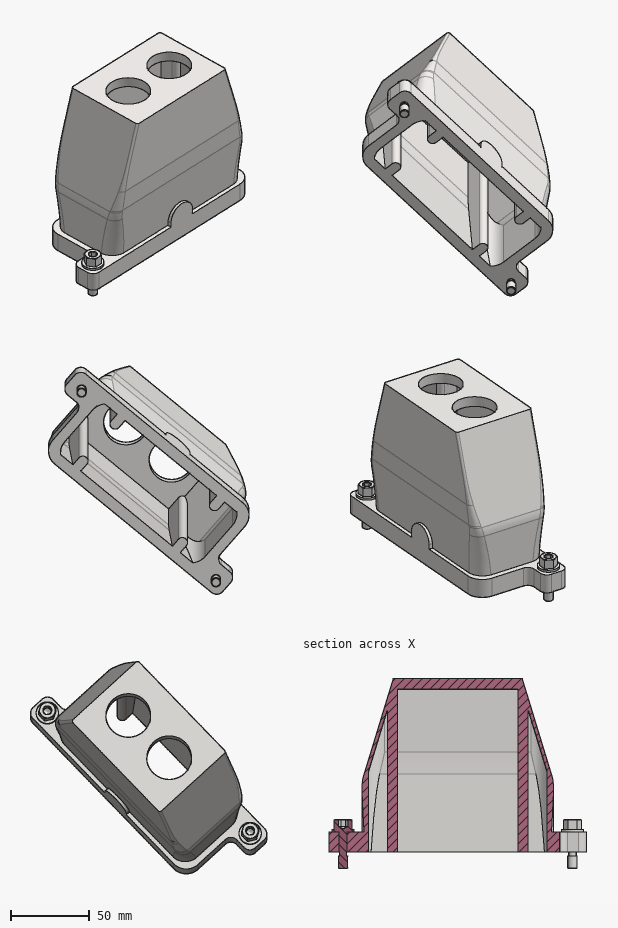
import cadquery as cq
import math

flange_width = 58.0
flange_length = 130.0
flange_height = 13.0
flange_corner_radius = 11.0

overall_length = 164.0
ear_width = 18.0
ear_corner_radius = 5.0
ear_root_radius = 5.0

hood_height = 110.6
side_top_half = flange_width / 2
side_bend_top = 63.7
side_bend_radius = 215.0
side_draft = math.radians(3.75)
end_base_half = 61.0
end_bend_bottom = 42.4
end_bend_radius = 21.0
end_slant = math.radians(17.0)
corner_setback_base = 10.0
corner_setback_top = 1.5
corner_crossing = math.radians(5.0)
corner_blend_top = 83.0
corner_steps = 4

side_wall_thickness = 3.5
end_wall_thickness = 2.5
cavity_corner_radius = 12.0
roof_thickness = 7.0
rib_inner_x = 12.6
rib_inner_y = 38.2
rib_radius = 3.3

entry_diameter = 28.5
entry_spacing = 38.0
lug_radius = 10.0
lug_centre_height = 16.3

screw_x = -20.0
screw_y = 73.0
washer_diameter = 14.2
washer_thickness = 1.5
head_across_flats = 10.0
head_top = 20.8
head_bevel_angle = math.radians(30.0)
socket_across_flats = 5.0
socket_depth = 4.5
socket_tip_angle = math.radians(30.0)
neck_diameter = 5.0
neck_bottom = -2.4
thread_diameter = 6.1
screw_bottom = -10.4
thread_chamfer = 0.5

margin = 10.0


def hexagon_diameter(across_flats):
    """Corner-to-corner size of a hexagon."""
    return across_flats / math.cos(math.pi / 6)


def hexagon_prism(across_flats, bottom, height):
    """Upright hexagonal prism with two of its corners along Y."""
    prism = cq.Workplane("XY").polygon(6, hexagon_diameter(across_flats)).extrude(height)
    return prism.rotate((0, 0, 0), (0, 0, 1), 30).translate((0, 0, bottom))


side_bend_bottom = side_bend_top - side_bend_radius * math.sin(side_draft)
end_bend_top = end_bend_bottom + end_bend_radius * math.sin(end_slant)


def side_half(z):
    """Half width of the hood in X: drafted below, bent, upright above."""
    if z >= side_bend_top:
        return side_top_half
    arc_z = max(z, side_bend_bottom)
    rise = side_bend_top - arc_z
    on_arc = side_top_half - side_bend_radius + math.sqrt(side_bend_radius**2 - rise**2)
    return on_arc - (arc_z - z) * math.tan(side_draft)


def end_half(z):
    """Half length of the hood in Y: upright below, bent, leaning inward above."""
    if z <= end_bend_bottom:
        return end_base_half
    arc_z = min(z, end_bend_top)
    rise = arc_z - end_bend_bottom
    on_arc = end_base_half - end_bend_radius + math.sqrt(end_bend_radius**2 - rise**2)
    return on_arc - (z - arc_z) * math.tan(end_slant)


def wall_prism(plane, half, bend_bottom, bend_top, bottom, top, inset):
    """Prism, symmetric about Z, whose two sides follow one wall's profile."""
    bend_middle = (bend_bottom + bend_top) / 2

    def right(z):
        return (half(z) - inset, z)

    def left(z):
        return (inset - half(z), z)

    return (
        cq.Workplane(plane)
        .moveTo(*left(bottom))
        .lineTo(*right(bottom))
        .lineTo(*right(bend_bottom))
        .threePointArc(right(bend_middle), right(bend_top))
        .lineTo(*right(top))
        .lineTo(*left(top))
        .lineTo(*left(bend_top))
        .threePointArc(left(bend_middle), left(bend_bottom))
        .close()
        .extrude(overall_length / 2, both=True)
    )


def hood_block(bottom, top, side_inset=0, end_inset=0):
    """Sharp-cornered hood shape, with its walls moved inward by the insets."""
    sides = wall_prism("XZ", side_half, side_bend_bottom, side_bend_top, bottom, top, side_inset)
    ends = wall_prism("YZ", end_half, end_bend_bottom, end_bend_top, bottom, top, end_inset)
    return sides.intersect(ends)


def corner_setback(z):
    """Size of the corner rounding, easing from large at the base to small at the top."""
    s = min((z - flange_height) / (corner_blend_top - flange_height), 1.0)
    ease = s * s * (3 - 2 * s)
    return corner_setback_base + (corner_setback_top - corner_setback_base) * ease


def corner_section(z):
    """Region outside the rounded +X +Y corner of the hood at one height."""
    r = corner_setback(z) / (math.cos(corner_crossing) - math.sin(corner_crossing))
    bulge = r * (1 - math.cos(corner_crossing))
    x = side_half(z) + bulge
    y = end_half(z) + bulge
    diagonal = r * (1 - math.sqrt(0.5))
    return (
        cq.Workplane("XY", origin=(0, 0, z))
        .moveTo(x, y - r)
        .threePointArc((x - diagonal, y - diagonal), (x - r, y))
        .lineTo(x - r, y + margin)
        .lineTo(x + margin, y + margin)
        .lineTo(x + margin, y - r)
        .close()
        .val()
    )


def corner_cutter(bottom, top):
    """Smooth cutter that rounds the +X +Y corner over one stretch of its height."""
    step = (top - bottom) / corner_steps
    sections = [corner_section(bottom + i * step) for i in range(corner_steps + 1)]
    return cq.Workplane(cq.Solid.makeLoft(sections))


def four_corners(body):
    """A +X +Y body together with its mirror images in the other corners."""
    mirrored = body.mirror("YZ")
    return [body, mirrored, body.mirror("XZ"), mirrored.mirror("XZ")]


def make_tower():
    tower = hood_block(flange_height, hood_height)
    levels = [flange_height, end_bend_bottom, end_bend_top, side_bend_bottom, side_bend_top, hood_height]
    for bottom, top in zip(levels, levels[1:]):
        for cutter in four_corners(corner_cutter(bottom, top)):
            tower = tower.cut(cutter)
    return tower


def round_edge(body, x, y, radius):
    """Fillet the upright edge that stands at (x, y)."""
    edge = cq.selectors.NearestToPointSelector((x, y, flange_height / 2))
    return body.edges("|Z").edges(edge).fillet(radius)


def make_flange():
    half_width = flange_width / 2
    half_length = flange_length / 2
    plate = cq.Workplane("XY").rect(flange_width, flange_length).extrude(flange_height)
    for side in (-1, 1):
        plate = plate.union(
            cq.Workplane("XY")
            .center(side * (half_width - ear_width / 2), -side * overall_length / 4)
            .rect(ear_width, overall_length / 2)
            .extrude(flange_height)
        )
    for side in (-1, 1):
        outer_x = side * half_width
        root_x = side * (half_width - ear_width)
        ear_end = -side * overall_length / 2
        plate = round_edge(plate, outer_x, side * half_length, flange_corner_radius)
        plate = round_edge(plate, outer_x, ear_end, ear_corner_radius)
        plate = round_edge(plate, root_x, ear_end, ear_corner_radius)
        plate = round_edge(plate, root_x, -side * half_length, ear_root_radius)
    return plate


def make_lugs():
    """Round-topped lugs on both long sides, flush with the flange."""
    straight = lug_centre_height - flange_height
    return (
        cq.Workplane("YZ", origin=(0, 0, flange_height))
        .moveTo(-lug_radius, 0)
        .lineTo(-lug_radius, straight)
        .threePointArc((0, straight + lug_radius), (lug_radius, straight))
        .lineTo(lug_radius, 0)
        .close()
        .extrude(flange_width / 2, both=True)
    )


def make_cavity():
    """Open-bottomed inside space, less four upright round-ended ribs near the corners."""
    cavity_top = hood_height - roof_thickness
    rounded_limit = (
        cq.Workplane("XY")
        .rect(2 * (side_top_half - side_wall_thickness), 2 * (end_base_half - end_wall_thickness))
        .extrude(cavity_top)
        .edges("|Z")
        .fillet(cavity_corner_radius)
    )
    cavity = hood_block(0, cavity_top, side_wall_thickness, end_wall_thickness).intersect(rounded_limit)
    rib = (
        cq.Workplane("XY")
        .moveTo(rib_inner_x + rib_radius, rib_inner_y)
        .lineTo(flange_width / 2, rib_inner_y)
        .lineTo(flange_width / 2, rib_inner_y + 2 * rib_radius)
        .lineTo(rib_inner_x + rib_radius, rib_inner_y + 2 * rib_radius)
        .threePointArc((rib_inner_x, rib_inner_y + rib_radius), (rib_inner_x + rib_radius, rib_inner_y))
        .close()
        .extrude(hood_height)
    )
    for corner_rib in four_corners(rib):
        cavity = cavity.cut(corner_rib)
    return cavity


def screw_centres():
    return [(screw_x, screw_y), (-screw_x, -screw_y)]


def make_hood():
    hood = make_flange().union(make_tower()).union(make_lugs())
    hood = hood.cut(make_cavity())
    entries = (
        cq.Workplane("XY", origin=(0, 0, hood_height))
        .rarray(1, entry_spacing, 1, 2)
        .circle(entry_diameter / 2)
        .extrude(-roof_thickness - margin)
    )
    screw_holes = (
        cq.Workplane("XY")
        .pushPoints(screw_centres())
        .circle(neck_diameter / 2)
        .extrude(flange_height)
    )
    return hood.cut(entries).cut(screw_holes)


def make_screw_head(bottom):
    """Hexagon head, corners along Y, bevelled on top."""
    corner_diameter = hexagon_diameter(head_across_flats)
    bevel_drop = (corner_diameter - head_across_flats) / 2 * math.tan(head_bevel_angle)
    hexagon = hexagon_prism(head_across_flats, bottom, head_top - bottom)
    bevelled_round = (
        cq.Workplane("XZ")
        .moveTo(0, bottom)
        .lineTo(corner_diameter / 2, bottom)
        .lineTo(corner_diameter / 2, head_top - bevel_drop)
        .lineTo(head_across_flats / 2, head_top)
        .lineTo(0, head_top)
        .close()
        .revolve(360, (0, 0, 0), (0, 1, 0))
    )
    return hexagon.intersect(bevelled_round)


def make_socket():
    """Hexagon recess with a round countersunk mouth and a conical bottom."""
    mouth_radius = hexagon_diameter(socket_across_flats) / 2
    drill_radius = socket_across_flats / 2
    floor = head_top - socket_depth
    hexagon = hexagon_prism(socket_across_flats, floor, socket_depth)
    mouth = cq.Solid.makeCone(drill_radius, mouth_radius, mouth_radius - drill_radius)
    tip_depth = drill_radius * math.tan(socket_tip_angle)
    tip = cq.Solid.makeCone(0, drill_radius, tip_depth)
    return (
        hexagon.union(cq.Workplane(mouth).translate((0, 0, head_top - mouth_radius + drill_radius)))
        .union(cq.Workplane(tip).translate((0, 0, floor - tip_depth)))
    )


def make_screw():
    """Captive screw: head, washer face, neck and wider threaded end."""
    washer_top = flange_height + washer_thickness
    washer = (
        cq.Workplane("XY", origin=(0, 0, flange_height))
        .circle(washer_diameter / 2)
        .extrude(washer_thickness)
    )
    neck = (
        cq.Workplane("XY", origin=(0, 0, neck_bottom))
        .circle(neck_diameter / 2)
        .extrude(flange_height - neck_bottom)
    )
    thread = (
        cq.Workplane("XY", origin=(0, 0, screw_bottom))
        .circle(thread_diameter / 2)
        .extrude(neck_bottom - screw_bottom)
        .faces("<Z")
        .chamfer(thread_chamfer)
    )
    screw = make_screw_head(washer_top).union(washer).union(neck).union(thread)
    return screw.cut(make_socket())


hood = make_hood()
screw = make_screw()
screws = [screw.translate((x, y, 0)).val() for x, y in screw_centres()]

result = cq.Compound.makeCompound([hood.val(), *screws])